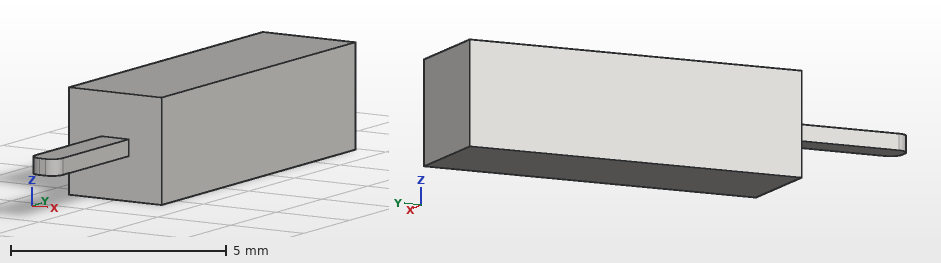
import cadquery as cq

total_length = 11.7
body_side = 2.54

pin_length = 3.19
pin_width = 0.75
pin_thickness = 0.4
tip_radius = 0.29

body_length = total_length - pin_length

body = cq.Workplane("XY").box(body_side, body_length, body_side, centered=(True, False, True))

pin = (
    cq.Workplane("XY")
    .box(pin_width, pin_length, pin_thickness, centered=(True, False, True))
    .edges("|Z and <Y")
    .fillet(tip_radius)
    .translate((0, -pin_length, 0))
)

result = body.union(pin)